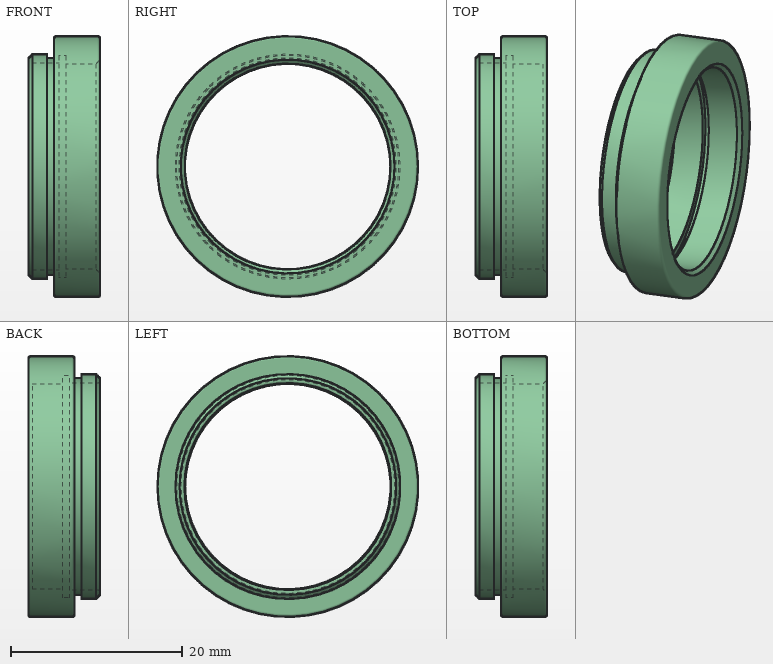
import cadquery as cq

total_length = 8.4
neck_start = 2.2
flange_start = 3.0
groove_start = 3.6
groove_width = 0.8
groove_end = groove_start + groove_width

flange_diameter = 30.5
spigot_diameter = 26.3
neck_diameter = 25.4
front_bore_diameter = 24.2
groove_diameter = 26.0
rear_bore_diameter = 24.0

spigot_chamfer = 0.5
flange_edge_radius = 0.3
bore_edge_radius = 0.25
rear_mouth_chamfer = 0.5


def cylinder(diameter, start, end):
    """Solid cylinder about the X axis between two axial positions."""
    return cq.Workplane("YZ", origin=(start, 0, 0)).circle(diameter / 2).extrude(end - start)


spigot = cylinder(spigot_diameter, 0, neck_start).faces("<X").chamfer(spigot_chamfer)
neck = cylinder(neck_diameter, neck_start, flange_start)
flange = cylinder(flange_diameter, flange_start, total_length).edges().fillet(flange_edge_radius)
body = spigot.union(neck).union(flange)

body = body.cut(cylinder(front_bore_diameter, 0, groove_start))
body = body.cut(cylinder(rear_bore_diameter, groove_start, total_length))
body = body.faces("<X").edges(cq.selectors.RadiusNthSelector(0)).fillet(bore_edge_radius)

result = body.cut(cylinder(groove_diameter, groove_start, groove_end))

result = result.faces(">X").edges(cq.selectors.RadiusNthSelector(0)).chamfer(rear_mouth_chamfer)